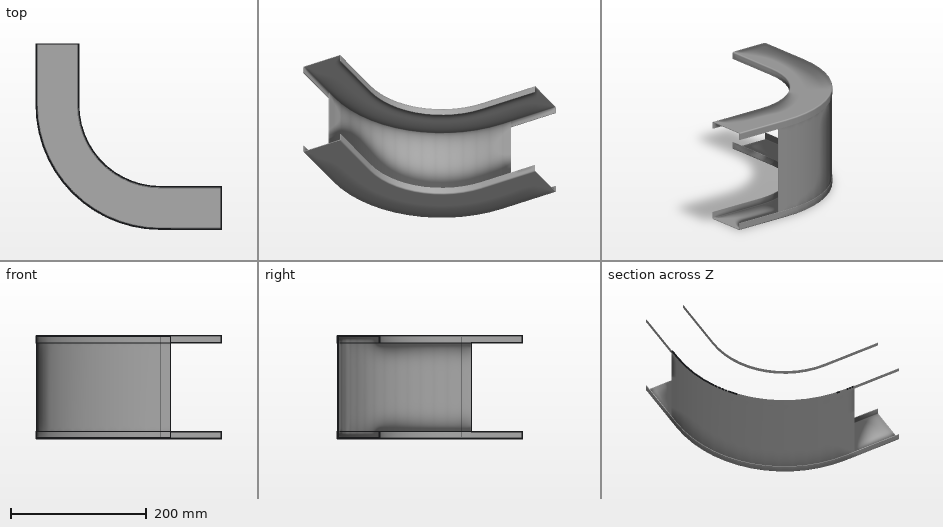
import cadquery as cq

overall_height = 153.0
overall_length = 273.75

sheet = 1.0
bend_radius = 2.0
lip_height = 11.0
outer_radius = 183.75
channel_width = 63.25
inner_radius = outer_radius - channel_width
channel_straight = overall_length - outer_radius

wall_radius = outer_radius - sheet
wall_straight = 15.0
wall_height = overall_height - 2 * bend_radius


def sweep_elbow(section, straight):
    """Sweep a section, drawn in XZ on the -X side of the Z axis, round a quarter turn.

    One straight leg runs along +Y from the start of the turn, the other along +X from its end.
    """
    profile = cq.Workplane("XZ").placeSketch(section)
    leg_y = profile.extrude(-straight)
    leg_x = leg_y.mirror("XZ").rotate((0, 0, 0), (0, 0, 1), 90)
    turn = cq.Workplane("XZ").placeSketch(section).revolve(90, (0, 0, 0), (0, 1, 0))
    return leg_y.union(turn).union(leg_x)


def make_bar(width, height, bottom, edge_radius):
    """Solid elbow bar along the channel centreline, with its two lower edges rounded."""
    centre_x = -(outer_radius + inner_radius) / 2
    section = (
        cq.Sketch()
        .push([(centre_x, bottom + height / 2)])
        .rect(width, height)
        .reset()
        .vertices("<Y")
        .fillet(edge_radius)
    )
    return sweep_elbow(section, channel_straight)


def make_bottom_channel():
    """Web lying at the bottom, with a lip turned up along each edge."""
    web_bottom = -overall_height / 2
    blank = make_bar(channel_width, lip_height, web_bottom, bend_radius)
    trough = make_bar(
        channel_width - 2 * sheet, lip_height - sheet, web_bottom + sheet, bend_radius - sheet
    )
    return blank.cut(trough)


def make_side_wall():
    """Plain sheet standing between the two channels on the outside of the turn."""
    section = cq.Sketch().push([(-wall_radius + sheet / 2, 0)]).rect(sheet, wall_height)
    return sweep_elbow(section, wall_straight)


bottom_channel = make_bottom_channel()
top_channel = bottom_channel.mirror("XY")
side_wall = make_side_wall()

result = cq.Compound.makeCompound([bottom_channel.val(), top_channel.val(), side_wall.val()])